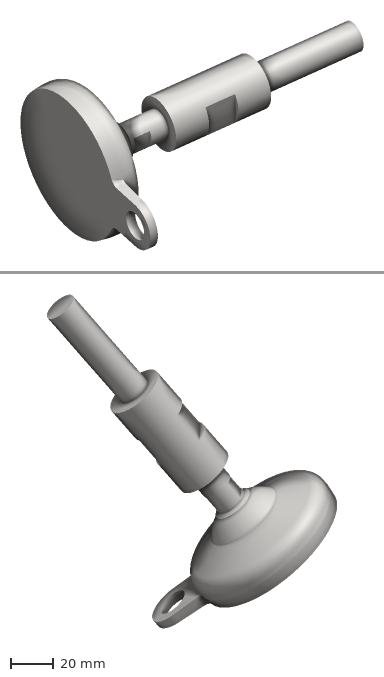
import cadquery as cq
import math

total_length = 166.5

foot_radius = 40.0
sole_radius = 39.1
rim_bottom_y = 6.2
rim_top_y = 9.2
shoulder_radius = 7.3
cone_angle = math.radians(21.5)
collar_base_radius = 19.5
dome_centre_y = 8.5
dome_radius = 23.6
dome_base_y = 23.6
dome_top_y = 30.5

lug_radius = 12.7
lug_hole_radius = 7.5
lug_tip_x = 68.1
lug_centre_x = lug_tip_x - lug_radius
lug_root_fillet = 5.0
lug_root_height = 5.7
lug_tip_height = 4.3
lug_taper_start_x = foot_radius

spindle_radius = 8.0
flare_radius = 10.2
flare_edge_y = 30.8
flare_top_y = 32.0
spindle_flat_start_y = 33.5
spindle_flat_end_y = 43.1
spindle_half_across_flats = 6.5

sleeve_radius = 14.3
sleeve_start_y = 53.0
sleeve_end_y = 108.2
sleeve_flat_start_y = 72.1
sleeve_flat_end_y = 89.2
sleeve_half_across_flats = 11.3


def revolve_about_y(profile):
    """Turn a closed profile in the XY plane around the Y axis."""
    return profile.revolve(360, (0, 0, 0), (0, 1, 0))


def cylinder_on_y(radius, start_y, end_y):
    """Cylinder on the Y axis between two heights."""
    profile = cq.Workplane("XY").moveTo(0, start_y).lineTo(radius, start_y)
    profile = profile.lineTo(radius, end_y).lineTo(0, end_y).close()
    return revolve_about_y(profile)


def cut_wrench_flats(body, body_radius, half_across_flats, start_y, end_y):
    """Cut two parallel flats, facing -X and +X, between two heights."""
    depth = body_radius - half_across_flats
    width = 2 * body_radius
    for side in (-1, 1):
        cutter = cq.Workplane("XY").box(depth, end_y - start_y, width)
        cutter_x = side * (half_across_flats + depth / 2)
        body = body.cut(cutter.translate((cutter_x, (start_y + end_y) / 2, 0)))
    return body


def make_lug():
    """Eyelet lug with filleted roots and a thickness that tapers to the tip."""
    disc = cq.Workplane("XZ").circle(sole_radius).extrude(-lug_root_height)
    arm = (
        cq.Workplane("XZ")
        .center(lug_centre_x / 2, 0)
        .rect(lug_centre_x, 2 * lug_radius)
        .extrude(-lug_root_height)
    )
    eye = cq.Workplane("XZ").center(lug_centre_x, 0).circle(lug_radius).extrude(-lug_root_height)
    plate = disc.union(arm).union(eye)

    root_x = math.sqrt(sole_radius**2 - lug_radius**2)
    for side in (-1, 1):
        root_edge = cq.selectors.NearestToPointSelector((root_x, lug_root_height / 2, side * lug_radius))
        plate = plate.edges("|Y").edges(root_edge).fillet(lug_root_fillet)

    taper = (
        cq.Workplane("XY")
        .polyline([
            (-sole_radius, 0),
            (lug_tip_x, 0),
            (lug_tip_x, lug_tip_height),
            (lug_taper_start_x, lug_root_height),
            (-sole_radius, lug_root_height),
        ])
        .close()
        .extrude(sole_radius, both=True)
    )
    hole = cq.Workplane("XZ").center(lug_centre_x, 0).circle(lug_hole_radius).extrude(-lug_root_height)
    return plate.intersect(taper).cut(hole)


def dome_radius_at(y):
    """Radius of the spherical dome at height y."""
    return math.sqrt(dome_radius**2 - (y - dome_centre_y) ** 2)


def make_foot():
    """Round foot with a tapered rim, rounded shoulder, cone, dome and fixing lug."""
    shoulder_x = foot_radius - shoulder_radius

    def shoulder_point(angle):
        return (
            shoulder_x + shoulder_radius * math.cos(angle),
            rim_top_y + shoulder_radius * math.sin(angle),
        )

    arc_angle = math.pi / 2 - cone_angle
    shoulder_end = shoulder_point(arc_angle)
    collar_base_y = shoulder_end[1] + (shoulder_end[0] - collar_base_radius) * math.tan(cone_angle)
    dome_middle_y = (dome_base_y + dome_top_y) / 2

    profile = (
        cq.Workplane("XY")
        .moveTo(0, 0)
        .lineTo(sole_radius, 0)
        .lineTo(foot_radius, rim_bottom_y)
        .lineTo(foot_radius, rim_top_y)
        .threePointArc(shoulder_point(arc_angle / 2), shoulder_end)
        .lineTo(collar_base_radius, collar_base_y)
        .lineTo(dome_radius_at(dome_base_y), dome_base_y)
        .threePointArc(
            (dome_radius_at(dome_middle_y), dome_middle_y),
            (dome_radius_at(dome_top_y), dome_top_y),
        )
        .lineTo(0, dome_top_y)
        .close()
    )
    return revolve_about_y(profile).union(make_lug())


def make_spindle():
    """Rod standing on the dome, with a flared foot and two wrench flats."""
    profile = (
        cq.Workplane("XY")
        .moveTo(0, dome_top_y)
        .lineTo(flare_radius, dome_top_y)
        .lineTo(flare_radius, flare_edge_y)
        .lineTo(spindle_radius, flare_top_y)
        .lineTo(spindle_radius, total_length)
        .lineTo(0, total_length)
        .close()
    )
    return cut_wrench_flats(
        revolve_about_y(profile),
        spindle_radius,
        spindle_half_across_flats,
        spindle_flat_start_y,
        spindle_flat_end_y,
    )


def make_sleeve():
    """Sleeve bored to fit the spindle, with two wrench flats."""
    barrel = cylinder_on_y(sleeve_radius, sleeve_start_y, sleeve_end_y)
    bore = cylinder_on_y(spindle_radius, sleeve_start_y, sleeve_end_y)
    return cut_wrench_flats(
        barrel.cut(bore),
        sleeve_radius,
        sleeve_half_across_flats,
        sleeve_flat_start_y,
        sleeve_flat_end_y,
    )


foot = make_foot()
spindle = make_spindle()
sleeve = make_sleeve()

result = cq.Compound.makeCompound([foot.val(), spindle.val(), sleeve.val()])